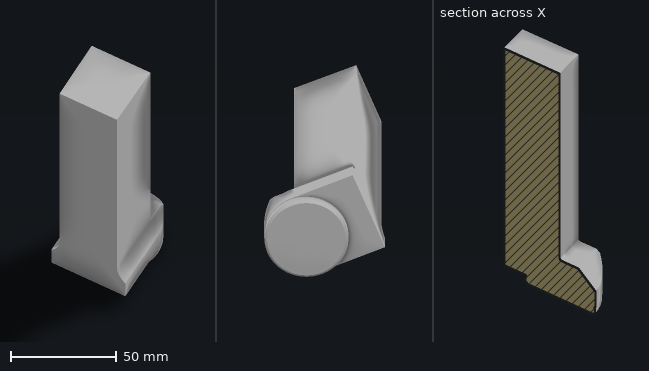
import cadquery as cq
import math

total_height = 147.3
head_width = 40.4
head_length = 52.3

boss_diameter = 40.0
boss_chamfer = 1.3
neck_diameter = 39.6
neck_height = 0.6
boss_top = 4.7

head_bottom = boss_top + neck_height
head_top = 25.6
nose_chamfer = 10.0

shank_front_width = 31.4
shank_back_width = 32.0
shank_depth = 31.8
shank_root_radius = 1.3

flare_height = 9.9

head_radius = head_width / 2
round_center_y = head_length - head_radius
shank_half_front = shank_front_width / 2
side_taper = math.degrees(math.atan((shank_back_width - shank_front_width) / 2 / shank_depth))


def make_head():
    """Prism with a flat front, a semicircular back and a 45-degree nose."""
    nose = (
        cq.Workplane("YZ")
        .moveTo(head_length - nose_chamfer, head_top)
        .lineTo(head_length, head_top)
        .lineTo(head_length, head_top - nose_chamfer)
        .close()
        .extrude(head_radius, both=True)
    )
    return (
        cq.Workplane("XY")
        .workplane(offset=head_bottom)
        .moveTo(-head_radius, 0)
        .lineTo(head_radius, 0)
        .lineTo(head_radius, round_center_y)
        .threePointArc((0, head_length), (-head_radius, round_center_y))
        .close()
        .extrude(head_top - head_bottom)
        .cut(nose)
    )


def make_shank_blank():
    """Full-width bar on the head, with a concave fillet at its back root."""
    reach = shank_depth + shank_root_radius
    crest = head_top + shank_root_radius
    return (
        cq.Workplane("YZ")
        .moveTo(0, head_top)
        .lineTo(reach, head_top)
        .radiusArc((shank_depth, crest), shank_root_radius)
        .lineTo(shank_depth, total_height)
        .lineTo(0, total_height)
        .close()
        .extrude(head_radius, both=True)
    )


def make_side_cutter():
    """Material beside the +X shank side, with the concave flare at its foot.

    The flare arc is tangent to the shank at the head top. The cutter is turned
    about the front edge of the shank side to give the slight taper.
    """
    margin = 3.0
    flare_width = head_radius - shank_half_front
    flare_radius = (flare_width**2 + flare_height**2) / (2 * flare_width)
    arc_center_x = shank_half_front + flare_radius
    outer_x = head_radius + margin
    outer_z = head_top - math.sqrt(flare_radius**2 - (arc_center_x - outer_x) ** 2)
    return (
        cq.Workplane("XZ", origin=(0, -margin, 0))
        .moveTo(shank_half_front, total_height)
        .lineTo(shank_half_front, head_top)
        .radiusArc((outer_x, outer_z), -flare_radius)
        .lineTo(outer_x, total_height)
        .close()
        .extrude(-(head_length + 2 * margin))
        .rotate((shank_half_front, 0, 0), (shank_half_front, 0, 1), -side_taper)
    )


def make_boss():
    """Neck and boss with a chamfered lower rim, concentric with the head round."""
    neck = (
        cq.Workplane("XY")
        .workplane(offset=boss_top)
        .center(0, round_center_y)
        .circle(neck_diameter / 2)
        .extrude(neck_height)
    )
    return (
        cq.Workplane("XY")
        .center(0, round_center_y)
        .circle(boss_diameter / 2)
        .extrude(boss_top)
        .faces("<Z")
        .chamfer(boss_chamfer)
        .union(neck)
    )


side_cutter = make_side_cutter()
upper_body = make_head().union(make_shank_blank())
upper_body = upper_body.cut(side_cutter).cut(side_cutter.mirror("YZ"))
result = upper_body.union(make_boss())